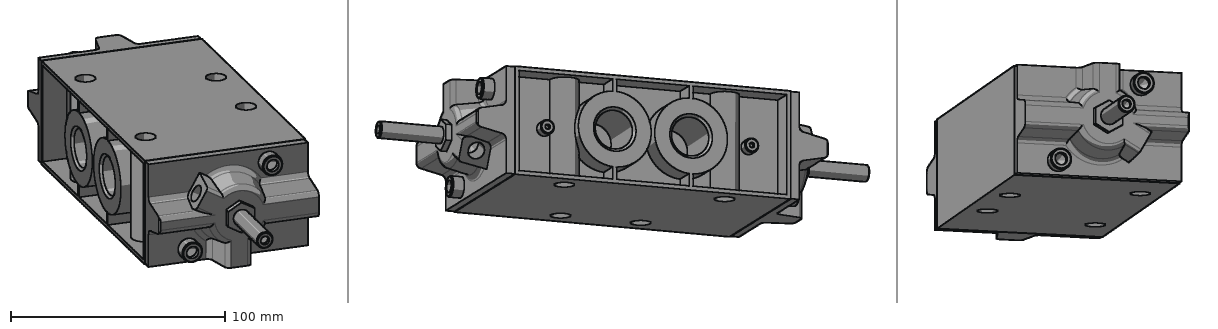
import cadquery as cq
import math

TOTAL_LENGTH = 244.0
WIDTH = 80.0
HEIGHT = 52.0

BODY_LENGTH = 137.5
WALL = 2.0
RECESS_DEPTH = 12.0
COLUMN_DIAMETER = 14.0
MOUNT_HOLE_DIAMETER = 9.5
MOUNT_PITCH_Y = 57.5
FRONT_MOUNT_PITCH = 80.0
REAR_MOUNT_PITCH = 40.0

PORT_PITCH = 38.0
PORT_BOSS_DIAMETER = 36.4
PORT_BORE_DIAMETER = 18.5
PORT_MOUTH_DIAMETER = 21.2
PORT_MOUTH_DEPTH = 1.2
PORT_DEPTH = 29.3
RIB_THICKNESS = 2.0

PIN_X_POSITIONS = (-50.0, 52.0)
PIN_DIAMETER = 6.8
PIN_HEIGHT = 5.4
PIN_SOCKET_DIAMETER = 2.5
PIN_SOCKET_DEPTH = 2.0
PIN_CHAMFER = 0.5

PLATE_THICKNESS = 4.5
PLATE_INSET = 0.2
RAISED_HEIGHT = 14.6
DRAFT = math.radians(12)
FLANK_FILLET = 2.7
HUB_TIP_RADIUS = 14.6
WIDE_ARM_HALF_WIDTH = 6.0
FRONT_ARM_HALF_WIDTH = 4.1
FRONT_ARM_CHAMFER = 0.7
EMBED = 1.2

CONNECTOR_ANGLE = 30
CONNECTOR_REACH = 21.5
CONNECTOR_TIP_WIDTH = 11.7
CONNECTOR_BASE_WIDTH = 17.0
CONNECTOR_HOLE_DIAMETER = 8.0
CONNECTOR_HOLE_DEPTH = 9.8
CONNECTOR_HOLE_HEIGHT = 6.8
CONNECTOR_CORNER_RADIUS = 1.7

SCREW_DIAMETER = 10.0
SCREW_HEAD_HEIGHT = 5.9
SCREW_CHAMFER = 0.5
SCREW_Y = 20.0
SCREW_Z = 19.0
SCREW_SOCKET_DIAMETER = 5.9
SCREW_SOCKET_DEPTH = 2.5

ROD_DIAMETER = 8.0
ROD_CHAMFER = 0.5
ROD_HOLE_DIAMETER = 4.1
ROD_HOLE_DEPTH = 2.0
NUT_ACROSS_FLATS = 13.2
NUT_THICKNESS = 3.0

CONE_ANGLE = 90

FRONT_Y = -WIDTH / 2
FLOOR_Y = FRONT_Y + RECESS_DEPTH
PORT_XS = (-PORT_PITCH / 2, PORT_PITCH / 2)
FRONT_MOUNTS = [(side * FRONT_MOUNT_PITCH / 2, -MOUNT_PITCH_Y / 2) for side in (-1, 1)]
REAR_MOUNTS = [(side * REAR_MOUNT_PITCH / 2, MOUNT_PITCH_Y / 2) for side in (-1, 1)]
PLATE_FACE = BODY_LENGTH / 2 + PLATE_THICKNESS
CAP_FACE = PLATE_FACE + RAISED_HEIGHT
CAP_WIDTH = WIDTH - 2 * PLATE_INSET
CAP_HEIGHT = HEIGHT - 2 * PLATE_INSET


def front_cylinder(x, diameter, start_y, length):
    """Cylinder along +Y, starting at start_y, at mid height of the body."""
    plane = cq.Plane(origin=(x, start_y, 0), xDir=(1, 0, 0), normal=(0, 1, 0))
    return cq.Workplane(plane).circle(diameter / 2).extrude(length)


def drilled_hole(start, direction, diameter, depth):
    """Blind hole with a conical bottom; depth is that of the straight part."""
    radius = diameter / 2
    point_depth = radius / math.tan(math.radians(CONE_ANGLE / 2))
    origin = cq.Vector(*start)
    axis = cq.Vector(*direction)
    hole = cq.Workplane(cq.Solid.makeCylinder(radius, depth, origin, axis))
    point = cq.Solid.makeCone(radius, 0, point_depth, origin + axis * depth, axis)
    return hole.union(cq.Workplane(point))


def port_cavity(x):
    """Blind port bore with a conical mouth, cut from the front face."""
    bore = front_cylinder(x, PORT_BORE_DIAMETER, FRONT_Y, PORT_DEPTH)
    mouth = cq.Solid.makeCone(
        PORT_MOUTH_DIAMETER / 2, PORT_BORE_DIAMETER / 2, PORT_MOUTH_DEPTH,
        cq.Vector(x, FRONT_Y, 0), cq.Vector(0, 1, 0),
    )
    return bore.union(cq.Workplane(mouth))


def recess_screw(x):
    """Small socket screw standing on the recess floor."""
    tip_y = FLOOR_Y - PIN_HEIGHT
    screw = front_cylinder(x, PIN_DIAMETER, tip_y, PIN_HEIGHT + EMBED)
    screw = screw.faces("<Y").chamfer(PIN_CHAMFER)
    return screw.cut(front_cylinder(x, PIN_SOCKET_DIAMETER, tip_y, PIN_SOCKET_DEPTH))


def make_body():
    body = cq.Workplane("XY").box(BODY_LENGTH, WIDTH, HEIGHT)
    recess = cq.Workplane("XY").box(BODY_LENGTH - 2 * WALL, RECESS_DEPTH, HEIGHT - 2 * WALL)
    body = body.cut(recess.translate((0, FRONT_Y + RECESS_DEPTH / 2, 0)))
    columns = (
        cq.Workplane("XY", origin=(0, 0, -HEIGHT / 2))
        .pushPoints(FRONT_MOUNTS)
        .circle(COLUMN_DIAMETER / 2)
        .extrude(HEIGHT)
    )
    body = body.union(columns)
    for x in PORT_XS:
        rib = cq.Workplane("XY").box(RIB_THICKNESS, RECESS_DEPTH, HEIGHT)
        body = body.union(rib.translate((x, FRONT_Y + RECESS_DEPTH / 2, 0)))
        body = body.union(front_cylinder(x, PORT_BOSS_DIAMETER, FRONT_Y, RECESS_DEPTH + EMBED))
    for x in PORT_XS:
        body = body.cut(port_cavity(x))
    for x in PIN_X_POSITIONS:
        body = body.union(recess_screw(x))
    mount_holes = (
        cq.Workplane("XY", origin=(0, 0, -HEIGHT / 2))
        .pushPoints(FRONT_MOUNTS + REAR_MOUNTS)
        .circle(MOUNT_HOLE_DIAMETER / 2)
        .extrude(HEIGHT)
    )
    return body.cut(mount_holes)


def half_section(plane, tip_half_width):
    """Right half of a raised section: filleted foot, drafted flank, rounded tip, centre line."""
    setback = FLANK_FILLET * math.tan((math.pi / 2 - DRAFT) / 2)
    across = setback * math.sin(DRAFT)
    along = setback * math.cos(DRAFT)
    foot = tip_half_width + RAISED_HEIGHT * math.tan(DRAFT)
    return (
        cq.Workplane(plane)
        .moveTo(0, -EMBED)
        .lineTo(foot + setback, -EMBED)
        .lineTo(foot + setback, 0)
        .radiusArc((foot - across, along), FLANK_FILLET)
        .lineTo(tip_half_width + across, RAISED_HEIGHT - along)
        .radiusArc((tip_half_width - setback, RAISED_HEIGHT), -FLANK_FILLET)
        .lineTo(0, RAISED_HEIGHT)
        .close()
    )


def raised_arm(direction, tip_half_width, length):
    """Arm running from the rod axis in the given YZ direction, raised towards -X."""
    outward = cq.Vector(*direction)
    sideways = cq.Vector(-1, 0, 0).cross(outward)
    plane = cq.Plane(origin=(-PLATE_FACE, 0, 0), xDir=sideways.toTuple(), normal=direction)
    half = half_section(plane, tip_half_width).extrude(length)
    mirror_plane = "XZ" if direction[1] == 0 else "XY"
    return half.union(half.mirror(mirror_plane))


def front_arm():
    """Narrower arm towards -Y with the tip of its end face chamfered."""
    arm = raised_arm((0, -1, 0), FRONT_ARM_HALF_WIDTH, CAP_WIDTH / 2)
    corner = (
        cq.Workplane("XY", origin=(-CAP_FACE, -CAP_WIDTH / 2, -HEIGHT / 2))
        .polyline([(0, 0), (FRONT_ARM_CHAMFER, 0), (0, FRONT_ARM_CHAMFER)])
        .close()
        .extrude(HEIGHT)
    )
    return arm.cut(corner)


def raised_hub():
    plane = cq.Plane(origin=(-PLATE_FACE, 0, 0), xDir=(0, 1, 0), normal=(0, 0, 1))
    return half_section(plane, HUB_TIP_RADIUS).revolve(360, (0, 0), (0, 1))


def connector_block():
    """Tapered block with a blind hole in its outer end, tilted below the -Y direction."""
    tip = CONNECTOR_TIP_WIDTH / 2
    base = CONNECTOR_BASE_WIDTH / 2
    plane = cq.Plane(origin=(-PLATE_FACE, 0, 0), xDir=(0, 0, 1), normal=(0, -1, 0))
    block = (
        cq.Workplane(plane)
        .polyline([(-base, 0), (base, 0), (tip, RAISED_HEIGHT), (-tip, RAISED_HEIGHT)])
        .close()
        .extrude(CONNECTOR_REACH)
        .faces("<X").edges("|Y").fillet(CONNECTOR_CORNER_RADIUS)
    )
    mouth = (-PLATE_FACE - CONNECTOR_HOLE_HEIGHT, -CONNECTOR_REACH, 0)
    hole = drilled_hole(mouth, (0, 1, 0), CONNECTOR_HOLE_DIAMETER, CONNECTOR_HOLE_DEPTH)
    return [piece.rotate((0, 0, 0), (1, 0, 0), CONNECTOR_ANGLE) for piece in (block, hole)]


def cap_screw(y, z):
    plane = cq.Plane(origin=(-PLATE_FACE, y, z), xDir=(0, 1, 0), normal=(-1, 0, 0))
    head = (
        cq.Workplane(plane)
        .circle(SCREW_DIAMETER / 2)
        .extrude(SCREW_HEAD_HEIGHT)
        .faces("<X").chamfer(SCREW_CHAMFER)
    )
    top = (-PLATE_FACE - SCREW_HEAD_HEIGHT, y, z)
    return head.cut(drilled_hole(top, (1, 0, 0), SCREW_SOCKET_DIAMETER, SCREW_SOCKET_DEPTH))


def rod_and_nut():
    """Hexagonal nut on the cap face and the rod running out to the end of the part."""
    plane = cq.Plane(origin=(-CAP_FACE, 0, 0), xDir=(0, 0, 1), normal=(-1, 0, 0))
    across_corners = NUT_ACROSS_FLATS / math.cos(math.pi / 6)
    nut = cq.Workplane(plane).polygon(6, across_corners).extrude(NUT_THICKNESS)
    rod = (
        cq.Workplane(plane)
        .circle(ROD_DIAMETER / 2)
        .extrude(TOTAL_LENGTH / 2 - CAP_FACE)
        .faces("<X").chamfer(ROD_CHAMFER)
    )
    rod_end = (-TOTAL_LENGTH / 2, 0, 0)
    hole = drilled_hole(rod_end, (1, 0, 0), ROD_HOLE_DIAMETER, ROD_HOLE_DEPTH)
    return nut.union(rod).cut(hole)


def make_cap():
    """Complete end assembly for the -X end."""
    cap = (
        cq.Workplane("XY")
        .box(PLATE_THICKNESS, CAP_WIDTH, CAP_HEIGHT)
        .translate((PLATE_THICKNESS / 2 - PLATE_FACE, 0, 0))
    )
    cap = cap.union(raised_hub())
    cap = cap.union(raised_arm((0, 0, 1), WIDE_ARM_HALF_WIDTH, CAP_HEIGHT / 2))
    cap = cap.union(raised_arm((0, 1, 0), WIDE_ARM_HALF_WIDTH, CAP_WIDTH / 2))
    cap = cap.union(front_arm())
    block, hole = connector_block()
    cap = cap.union(block).cut(hole)
    cap = cap.union(cap_screw(SCREW_Y, -SCREW_Z)).union(cap_screw(-SCREW_Y, SCREW_Z))
    return cap.union(rod_and_nut())


left_cap = make_cap()
right_cap = left_cap.rotate((0, 0, 0), (0, 1, 0), 180)
result = make_body().union(left_cap).union(right_cap)